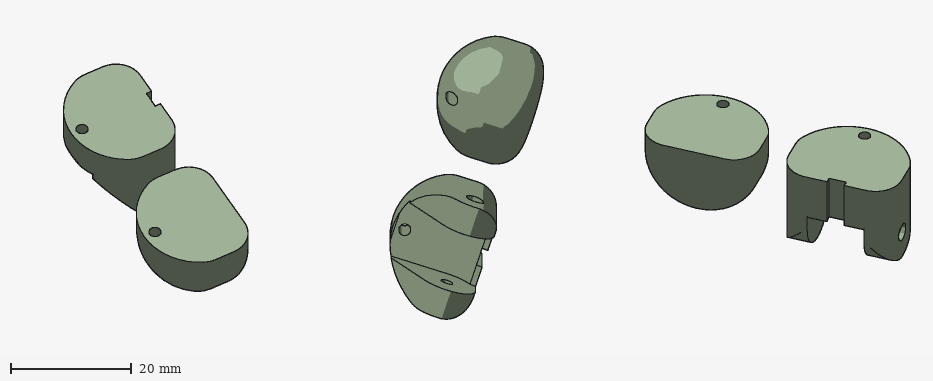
import cadquery as cq
import math


overall_length = 45.0
body_width = 20.0
body_depth = 16.0
back_radius = 4.6
blend_radius = 5.0
front_radius = 10.58
half_width = body_width / 2
body_pitch = overall_length - body_width

cord_hole_diameter = 2.0
cord_hole_y = -14.0

bracket_height = 16.0
hinge_radius = 5.0
hinge_y = -hinge_radius
hinge_z = hinge_radius - bracket_height
slant_angle = 50.0
slot_width = 10.0
rear_window_top = -8.32
pin_hole_diameter = 2.0
pin_head_diameter = 3.0
pin_head_depth = 1.0
notch_width = 3.0
notch_depth = 1.0
rear_roof_y = -notch_depth

knob_wall_height = 4.0

front_center_y = front_radius - body_depth
blend_center_x = half_width - blend_radius
center_distance = front_radius - blend_radius
blend_center_y = front_center_y - math.sqrt(center_distance**2 - blend_center_x**2)
blend_angle = math.atan2(front_center_y - blend_center_y, blend_center_x)
front_tangent_x = front_radius * math.cos(blend_angle)
front_tangent_y = front_center_y - front_radius * math.sin(blend_angle)


def point_on_circle(center_x, center_y, radius, angle):
    return (center_x + radius * math.cos(angle), center_y + radius * math.sin(angle))


back_corner_mid = point_on_circle(
    half_width - back_radius, -back_radius, back_radius, math.pi / 4
)
blend_mid = point_on_circle(
    blend_center_x, blend_center_y, blend_radius, -blend_angle / 2
)
front_arc_mid = point_on_circle(
    0, front_center_y, front_radius, -(blend_angle + math.pi / 2) / 2
)


def half_outline():
    """Right half of the D-shaped outline, closed along X = 0."""
    return (
        cq.Workplane("XY")
        .lineTo(half_width - back_radius, 0)
        .threePointArc(back_corner_mid, (half_width, -back_radius))
        .lineTo(half_width, blend_center_y)
        .threePointArc(blend_mid, (front_tangent_x, front_tangent_y))
        .threePointArc(front_arc_mid, (0, -body_depth))
        .close()
    )


def full_outline():
    """Complete outline, with one continuous arc across the front."""
    return (
        cq.Workplane("XY")
        .moveTo(half_width - back_radius, 0)
        .threePointArc(back_corner_mid, (half_width, -back_radius))
        .lineTo(half_width, blend_center_y)
        .threePointArc(blend_mid, (front_tangent_x, front_tangent_y))
        .threePointArc((0, -body_depth), (-front_tangent_x, front_tangent_y))
        .threePointArc((-blend_mid[0], blend_mid[1]), (-half_width, blend_center_y))
        .lineTo(-half_width, -back_radius)
        .threePointArc(
            (-back_corner_mid[0], back_corner_mid[1]), (back_radius - half_width, 0)
        )
        .close()
    )


def cord_hole(height):
    return (
        cq.Workplane("XY")
        .center(0, cord_hole_y)
        .circle(cord_hole_diameter / 2)
        .extrude(-height)
    )


def hinge_cylinder(radius, length):
    """Cylinder on the hinge axis, centred on X = 0."""
    return (
        cq.Workplane("YZ")
        .center(hinge_y, hinge_z)
        .circle(radius)
        .extrude(length / 2, both=True)
    )


def bracket_side_profile():
    """Side shape: straight back, round lower end and slanted front."""
    slant = math.radians(slant_angle)
    tangent_y, tangent_z = point_on_circle(
        hinge_y, hinge_z, hinge_radius, -math.pi / 2 - slant
    )
    slant_end_z = tangent_z + (tangent_y + body_depth) * math.tan(slant)
    return (
        cq.Workplane("YZ")
        .lineTo(0, hinge_z)
        .threePointArc((hinge_y, -bracket_height), (tangent_y, tangent_z))
        .lineTo(-body_depth, slant_end_z)
        .lineTo(-body_depth, 0)
        .close()
        .extrude(half_width, both=True)
    )


def hinge_slot():
    """Space between the arms: round at the hinge, open to front, back and below."""
    slot_top = hinge_z + hinge_radius
    front = (
        cq.Workplane("XY")
        .box(
            slot_width,
            body_depth + hinge_y,
            slot_top + bracket_height,
            centered=(True, False, False),
        )
        .translate((0, -body_depth, -bracket_height))
    )
    roof_start_z = hinge_z + math.sqrt(hinge_radius**2 - (rear_roof_y - hinge_y) ** 2)
    rear = (
        cq.Workplane("YZ")
        .moveTo(hinge_y, -bracket_height)
        .lineTo(0, -bracket_height)
        .lineTo(0, rear_window_top)
        .lineTo(rear_roof_y, roof_start_z)
        .lineTo(hinge_y, hinge_z)
        .close()
        .extrude(slot_width / 2, both=True)
    )
    return hinge_cylinder(hinge_radius, slot_width).union(front).union(rear)


def back_notch():
    return (
        cq.Workplane("XY")
        .box(notch_width, notch_depth, bracket_height, centered=(True, False, False))
        .translate((0, -notch_depth, -bracket_height))
    )


def make_bracket():
    bracket = full_outline().extrude(-bracket_height).intersect(bracket_side_profile())
    bracket = bracket.cut(hinge_slot()).cut(back_notch()).cut(cord_hole(bracket_height))
    bracket = bracket.cut(hinge_cylinder(pin_hole_diameter / 2, body_width))
    pin_heads = hinge_cylinder(pin_head_diameter / 2, body_width).cut(
        hinge_cylinder(pin_head_diameter / 2, body_width - 2 * pin_head_depth)
    )
    return bracket.cut(pin_heads)


def make_knob():
    wall = full_outline().extrude(-knob_wall_height)
    dome = (
        half_outline()
        .revolve(180, (0, 0, 0), (0, 1, 0))
        .translate((0, 0, -knob_wall_height))
    )
    knob_height = knob_wall_height + half_width
    knob = wall.union(dome).cut(cord_hole(knob_height))
    return knob.translate((body_pitch, 0, 0))


bracket = make_bracket()
knob = make_knob()

result = cq.Compound.makeCompound([bracket.val(), knob.val()])